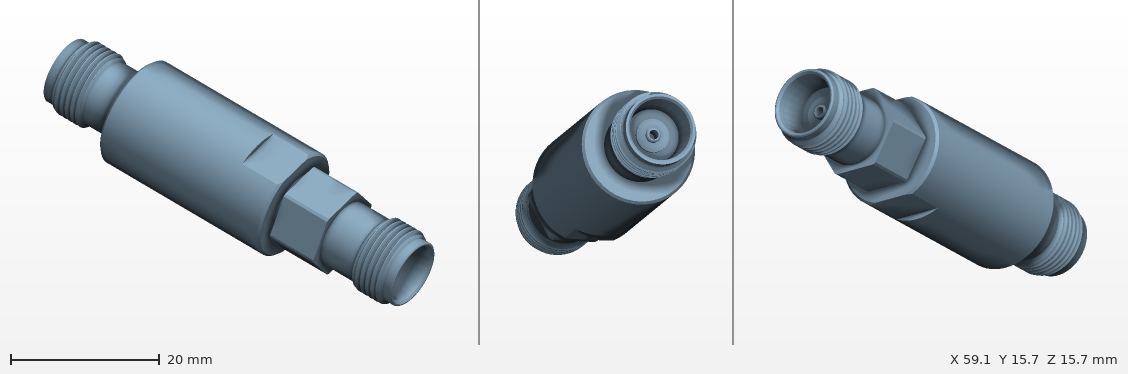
import cadquery as cq
import math

total_length = 59.15
body_start = 11.7
body_end = 39.0
hex_start = 39.75
hex_end = 47.1

body_radius = 7.85
body_chamfer = 0.35
flat_start = 32.7
flat_half_width = 7.1

hex_across_flats = 11.2
hex_corner_radius = 6.3

tube_radius = 4.85
tube_right_chamfer = 0.2

thread_start = 1.35
thread_length = 5.3
thread_turns = 6
thread_radius = 5.55
thread_root_radius = 5.1
root_flat = 0.2
flank_angle = 30.0
thread_crest = 2.65

mouth_radius = 4.5
mouth_chamfer = 0.3
socket_floor_radius = 3.65
socket_depth = 4.55
insulator_radius = 2.3
insulator_height = 0.3
contact_radius = 1.0
contact_height = 0.6
contact_hole_radius = 0.65
contact_chamfer = 0.2
contact_hole_depth = 2.35


def rod(start, end, radius):
    """Solid cylinder on the X axis between two X positions."""
    return cq.Workplane("YZ", origin=(start, 0, 0)).circle(radius).extrude(end - start)


def make_body():
    body = rod(body_start, body_end, body_radius).edges().chamfer(body_chamfer)
    for side in (1, -1):
        cutter = (
            cq.Workplane("XY")
            .box(body_end - flat_start, 2 * body_radius, body_radius, centered=(False, True, True))
            .translate((flat_start, 0, side * (flat_half_width + body_radius / 2)))
        )
        body = body.cut(cutter)
    return body


def make_hex():
    corner_diameter = hex_across_flats / math.cos(math.radians(30))
    prism = (
        cq.Workplane("YZ", origin=(hex_start, 0, 0))
        .polygon(6, corner_diameter)
        .extrude(hex_end - hex_start)
    )
    return prism.intersect(rod(hex_start, hex_end, hex_corner_radius))


def make_thread():
    """Threaded band of the left end: a chamfered ring with a helical V groove."""
    end = thread_start + thread_length
    ring = rod(thread_start, end, thread_radius).edges().chamfer(thread_radius - tube_radius)

    pitch = thread_length / thread_turns
    clearance = 0.05
    top_radius = thread_radius + clearance
    half_root = root_flat / 2
    half_top = half_root + (top_radius - thread_root_radius) * math.tan(math.radians(flank_angle))

    helix = cq.Wire.makeHelix(pitch, pitch, thread_root_radius)
    groove_turn = (
        cq.Workplane("XZ")
        .polyline([
            (thread_root_radius, -half_root),
            (top_radius, -half_top),
            (top_radius, half_top),
            (thread_root_radius, half_root),
        ])
        .close()
        .sweep(cq.Workplane(obj=helix), isFrenet=True)
        .rotate((0, 0, 0), (0, 1, 0), 90)
    )
    groove_start = thread_crest - 2.5 * pitch
    for turn in range(thread_turns + 2):
        ring = ring.cut(groove_turn.translate((groove_start + turn * pitch, 0, 0)), clean=False)
    return ring


def make_socket():
    """Tool for the left socket: a tapered bore that leaves the insulator and the contact standing."""
    insulator_face = socket_depth - insulator_height
    contact_tip = insulator_face - contact_height
    return (
        cq.Workplane("XY")
        .polyline([
            (0, 0),
            (0, mouth_radius),
            (mouth_chamfer, mouth_radius - mouth_chamfer),
            (socket_depth, socket_floor_radius),
            (socket_depth, insulator_radius),
            (insulator_face, insulator_radius),
            (insulator_face, contact_radius),
            (contact_tip + contact_chamfer, contact_radius),
            (contact_tip, contact_radius - contact_chamfer),
            (contact_tip, contact_hole_radius),
            (contact_tip + contact_hole_depth, contact_hole_radius),
            (contact_tip + contact_hole_depth, 0),
        ])
        .close()
        .revolve(360, (0, 0, 0), (1, 0, 0))
    )


def at_other_end(shape):
    """Turn a left-end feature about the vertical line through mid-length."""
    middle = total_length / 2
    return shape.rotate((middle, 0, 0), (middle, 0, 1), 180)


thread = make_thread()
socket = make_socket()

tube = rod(0, total_length, tube_radius).faces(">X").chamfer(tube_right_chamfer)
result = tube.union(make_body()).union(make_hex())
for band in (thread, at_other_end(thread)):
    result = result.union(band)
for bore in (socket, at_other_end(socket)):
    result = result.cut(bore)